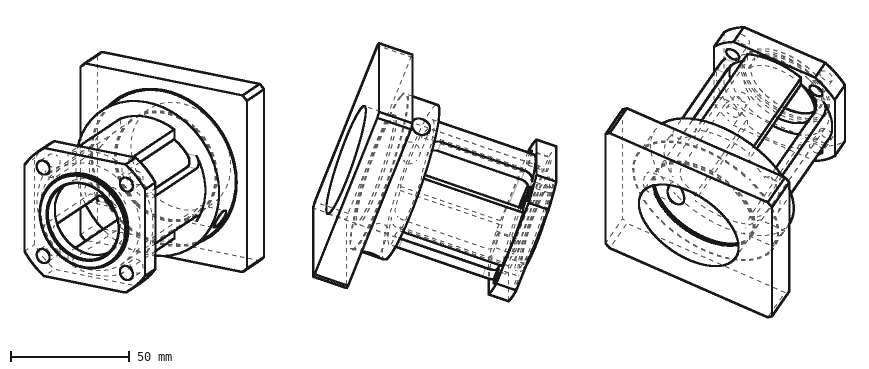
import cadquery as cq

plate_side = 80.0
plate_thickness = 15.05
plate_corner_chamfer = 2.05

collar_diameter = 69.0
collar_length = 14.1
relief_diameter = 70.0
relief_depth = 0.3

tube_diameter = 55.75
tube_bore = 48.0
side_bar_height = 21.55
top_bar_width = 25.8
window_fillet = 4.0

flange_side = 58.05
flange_corner_diameter = 70.0
flange_thickness = 9.0
flange_bore = 34.0
lip_thickness = 6.4
bore_chamfer = 0.4
bolt_hole_diameter = 6.2
bolt_pitch = 40.0

rim_diameter = 42.0
rim_height = 1.8
rim_chamfer = 0.5

groove_diameter = 49.0
groove_width = 1.0
groove_setback = 12.6
cross_hole_diameter = 8.0
cross_hole_drop = 14.9

total_length = 85.5
flange_front = rim_height
flange_back = flange_front + flange_thickness
plate_front = total_length - plate_thickness
collar_front = plate_front - collar_length
tube_length = collar_front - flange_back
groove_back = total_length - groove_setback


def section_plane(y):
    """Sketch plane at station y whose extrusions run toward +Y."""
    return cq.Workplane("XZ", origin=(0, y, 0))


def cylinder(diameter, start, end):
    """Cylinder on the part axis between two stations."""
    return section_plane(start).circle(diameter / 2).extrude(start - end)


def block(width, height, start, end):
    """Centred rectangular block between two stations."""
    return section_plane(start).rect(width, height).extrude(start - end)


def make_plate():
    plate = block(plate_side, plate_side, plate_front, total_length)
    plate = plate.edges("|Y").chamfer(plate_corner_chamfer)
    relief = cylinder(relief_diameter, plate_front, plate_front + relief_depth)
    return plate.cut(relief.cut(cylinder(collar_diameter, plate_front, total_length)))


def make_flange():
    flange = block(flange_side, flange_side, flange_front, flange_back)
    flange = flange.intersect(cylinder(flange_corner_diameter, flange_front, flange_back))
    rim = cylinder(rim_diameter, 0, flange_front).faces("<Y").chamfer(rim_chamfer)
    bolt_holes = (
        section_plane(flange_front)
        .rect(bolt_pitch, bolt_pitch, forConstruction=True)
        .vertices()
        .circle(bolt_hole_diameter / 2)
        .extrude(-flange_thickness)
    )
    bore = cylinder(flange_bore, 0, flange_back)
    counterbore = cylinder(tube_bore, lip_thickness, flange_back)
    return flange.union(rim).cut(bolt_holes).cut(bore).cut(counterbore)


def make_bars():
    """Four bars left standing by the corner windows of the tube."""
    tube = cylinder(tube_diameter, flange_back, collar_front)
    tube = tube.cut(cylinder(tube_bore, flange_back, collar_front))
    reach = tube_diameter / 2
    window_width = reach - top_bar_width / 2
    window_height = reach - side_bar_height / 2
    for x_side in (-1, 1):
        for z_side in (-1, 1):
            window = cq.Workplane("XY").box(window_width, tube_length, window_height).translate((
                x_side * (reach - window_width / 2),
                flange_back + tube_length / 2,
                z_side * (reach - window_height / 2),
            ))
            bar_face = "<Z" if z_side > 0 else ">Z"
            window = window.faces(bar_face).edges("|X").fillet(window_fillet)
            tube = tube.cut(window)
    return tube


def make_cross_hole():
    return (
        cq.Workplane("YZ")
        .center(collar_front + collar_length / 2, -cross_hole_drop)
        .circle(cross_hole_diameter / 2)
        .extrude(collar_diameter / 2, both=True)
    )


base = make_plate().union(cylinder(collar_diameter, collar_front, total_length))
base = base.cut(cylinder(tube_bore, collar_front, total_length))
base = base.cut(cylinder(groove_diameter, groove_back - groove_width, groove_back))
base = base.cut(make_cross_hole())

flange = make_flange()
rim_bore_edge = flange.faces("<Y").edges(cq.selectors.RadiusNthSelector(0))
flange = rim_bore_edge.chamfer(bore_chamfer)

result = base.union(make_bars()).union(flange)